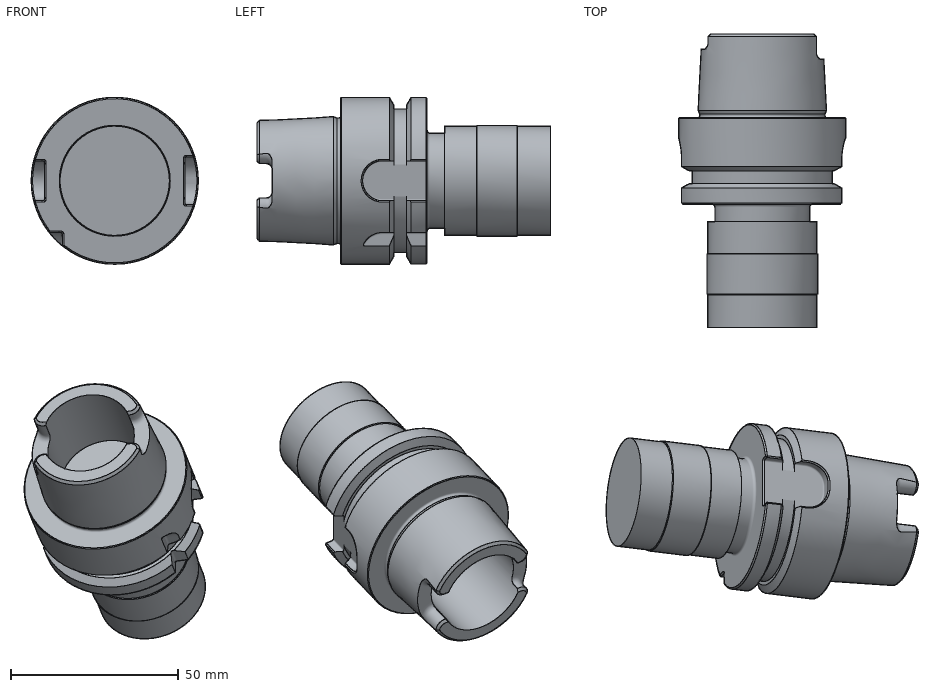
import cadquery as cq
import math


total_length = 87.9

taper_length = 25.05
taper_end_radius = 18.1
taper_base_radius = 19.25
taper_base_y = 2.2
relief_radius = 18.8
relief_y = 1.1
relief_fillet = 0.5
taper_end_chamfer = 0.8
taper_bevel_angle = 45
bore_radius = 13.6

drive_half_width = 5.1
drive_lip_radius = 3.0
drive_mouth_z = drive_half_width + drive_lip_radius
drive_flat_x = 16.3
drive_floor_fillet = 1.8
drive_depth_left = 4.6
drive_depth_right = 7.6

flange_radius = 25.01
flange_length = 25.9
flange_back_chamfer = 0.3
mouth_chamfer = 0.4
groove_centre_y = -17.8
groove_floor_width = 3.8
groove_floor_radius = 21.5
groove_v_depth = 2.4
groove_v_angle = 30

keyway_end_y = -6.6
keyway_floor_x = 21.0
keyway_fillet = 0.4
keyway_left_width = 11.95
keyway_right_width = 14.3
keyway_right_corner = 6.15

notch_end_y = -6.15
notch_floor_x = 15.65
notch_top_z = -15.5
notch_end_radius = 6.4
notch_fillet = 0.6

neck_radius = 14.2
neck_fillet = 0.9
collar_back_y = -31.1
band_back_y = -40.9
band_front_y = -52.7
shank_front_y = taper_length - total_length
shank_radius = 16.35
band_radius = 16.6
band_chamfer = band_radius - shank_radius

cutter_margin = 4.4
pick_margin = 0.9
rim_pick_depth = 1.3
cutter_outer_x = flange_radius + cutter_margin
cutter_outer_z = drive_mouth_z + cutter_margin

arc_inset = 1 - math.sqrt(0.5)


def revolve_about_y(outline):
    """Close a half outline in the XY plane and revolve it about the Y axis."""
    return outline.close().revolve(360, (0, 0, 0), (0, 1, 0))


def draw_drive_slot(side, y):
    """Cross-section of the drive slot on one X side: straight through the wall, then rounded outwards."""
    inner_x = side * bore_radius / 2
    lip_x = side * (drive_flat_x - drive_lip_radius)
    flat_x = side * drive_flat_x
    outer_x = side * cutter_outer_x
    arc_x = flat_x - side * drive_lip_radius * arc_inset
    arc_z = drive_half_width + drive_lip_radius * arc_inset
    return (
        cq.Workplane("XZ", origin=(0, y, 0))
        .moveTo(inner_x, -drive_half_width)
        .lineTo(lip_x, -drive_half_width)
        .threePointArc((arc_x, -arc_z), (flat_x, -drive_mouth_z))
        .lineTo(flat_x, -cutter_outer_z)
        .lineTo(outer_x, -cutter_outer_z)
        .lineTo(outer_x, cutter_outer_z)
        .lineTo(flat_x, cutter_outer_z)
        .lineTo(flat_x, drive_mouth_z)
        .threePointArc((arc_x, arc_z), (lip_x, drive_half_width))
        .lineTo(inner_x, drive_half_width)
        .close()
    )


def make_drive_slot(side, depth):
    """Cutter for one drive slot, with a rounded floor and a bevel at the open end of the taper."""
    slot = draw_drive_slot(side, taper_length - depth).extrude(-depth)
    wall_edges = cq.selectors.BoxSelector(
        (side * (bore_radius / 2 + pick_margin), -cutter_margin, pick_margin - cutter_outer_z),
        (side * (cutter_outer_x - pick_margin), taper_length, cutter_outer_z - pick_margin),
    )
    slot = slot.faces("<Y").edges(wall_edges).fillet(drive_floor_fillet)
    bevel = draw_drive_slot(side, taper_length - taper_end_chamfer).extrude(
        -taper_end_chamfer, taper=-taper_bevel_angle
    )
    return slot.union(bevel)


def make_taper():
    """Hollow taper with a relief at its base and two drive slots in its open end."""
    taper = revolve_about_y(
        cq.Workplane("XY")
        .moveTo(bore_radius, taper_length)
        .lineTo(taper_end_radius - taper_end_chamfer, taper_length)
        .lineTo(taper_end_radius, taper_length - taper_end_chamfer)
        .lineTo(taper_base_radius, taper_base_y)
        .lineTo(relief_radius, relief_y)
        .lineTo(relief_radius, relief_fillet)
        .threePointArc(
            (relief_radius + relief_fillet * arc_inset, relief_fillet * arc_inset),
            (relief_radius + relief_fillet, 0),
        )
        .lineTo(bore_radius, 0)
    )
    return taper.cut(make_drive_slot(-1, drive_depth_left)).cut(make_drive_slot(1, drive_depth_right))


def make_rim_recess(side, floor_x, width, end_y, end_radius, floor_fillet):
    """Cutter for a rim recess with a flat floor, a rounded end and an open front."""
    side_y = end_y - end_radius
    front_y = -flange_length - cutter_margin
    half_width = width / 2
    half_flat = half_width - end_radius
    arc_y = end_y - end_radius * arc_inset
    arc_z = half_width - end_radius * arc_inset
    outline = (
        cq.Workplane("YZ", origin=(side * floor_x, 0, 0))
        .moveTo(front_y, half_width)
        .lineTo(side_y, half_width)
    )
    if half_flat > 0:
        outline = (
            outline.threePointArc((arc_y, arc_z), (end_y, half_flat))
            .lineTo(end_y, -half_flat)
            .threePointArc((arc_y, -arc_z), (side_y, -half_width))
        )
    else:
        outline = outline.threePointArc((end_y, 0), (side_y, -half_width))
    cutter = outline.lineTo(front_y, -half_width).close().extrude(side * (cutter_outer_x - floor_x))
    floor = cutter.faces("<X" if side > 0 else ">X")
    return floor.edges().fillet(floor_fillet)


def make_groove():
    """Cutter for the gripper groove: straight at the bottom, flared at the rim."""
    v_run = groove_v_depth * math.tan(math.radians(groove_v_angle))
    back_y = groove_centre_y + groove_floor_width / 2
    front_y = groove_centre_y - groove_floor_width / 2
    v_radius = flange_radius - groove_v_depth
    return revolve_about_y(
        cq.Workplane("XY")
        .moveTo(groove_floor_radius, front_y)
        .lineTo(v_radius, front_y)
        .lineTo(flange_radius, front_y - v_run)
        .lineTo(cutter_outer_x, front_y - v_run)
        .lineTo(cutter_outer_x, back_y + v_run)
        .lineTo(flange_radius, back_y + v_run)
        .lineTo(v_radius, back_y)
        .lineTo(groove_floor_radius, back_y)
    )


def make_flange():
    """Flange with two keyways, a notch and the gripper groove."""
    left_keyway = make_rim_recess(
        -1, keyway_floor_x, keyway_left_width, keyway_end_y, keyway_left_width / 2, keyway_fillet
    )
    right_keyway = make_rim_recess(
        1, keyway_floor_x, keyway_right_width, keyway_end_y, keyway_right_corner, keyway_fillet
    )
    notch = make_rim_recess(
        -1, notch_floor_x, 2 * notch_end_radius, notch_end_y, notch_end_radius, notch_fillet
    ).translate((0, 0, notch_top_z - notch_end_radius))

    flange = cq.Workplane("XZ").circle(flange_radius).extrude(flange_length).rotate((0, 0, 0), (0, 1, 0), 90)
    flange = flange.cut(left_keyway).cut(right_keyway)
    for side in (-1, 1):
        keyway_mouth = cq.selectors.BoxSelector(
            (side * (flange_radius - rim_pick_depth), pick_margin - flange_length, -keyway_right_width),
            (side * cutter_outer_x, -pick_margin, keyway_right_width),
        )
        flange = flange.edges(keyway_mouth).chamfer(mouth_chamfer)
    flange = flange.cut(notch)
    flange = flange.faces("<Y").edges().chamfer(mouth_chamfer)
    flange = flange.faces(">Y").edges().chamfer(flange_back_chamfer)
    return flange.cut(make_groove())


def make_shank():
    """Solid shank with a necked root and a slightly larger band."""
    root_y = -flange_length
    return revolve_about_y(
        cq.Workplane("XY")
        .moveTo(0, root_y)
        .lineTo(neck_radius + neck_fillet, root_y)
        .threePointArc(
            (neck_radius + neck_fillet * arc_inset, root_y - neck_fillet * arc_inset),
            (neck_radius, root_y - neck_fillet),
        )
        .lineTo(neck_radius, collar_back_y)
        .lineTo(shank_radius, collar_back_y)
        .lineTo(shank_radius, band_back_y + band_chamfer)
        .lineTo(band_radius, band_back_y)
        .lineTo(band_radius, band_front_y)
        .lineTo(shank_radius, band_front_y - band_chamfer)
        .lineTo(shank_radius, shank_front_y)
        .lineTo(0, shank_front_y)
    )


result = make_taper().union(make_flange()).union(make_shank())